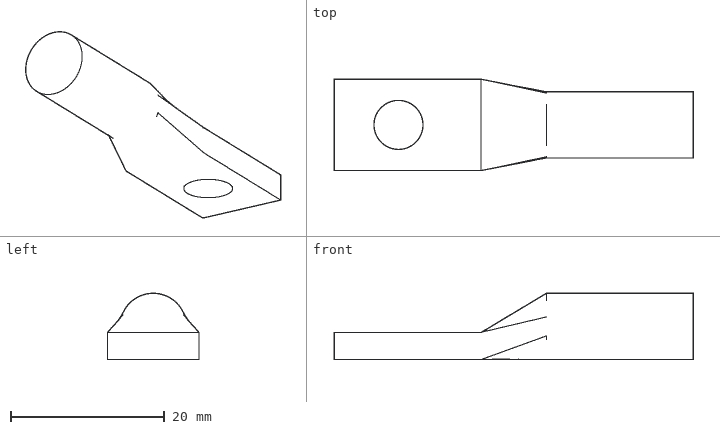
import cadquery as cq
import math

total_length = 46.75
pad_length = 19.1
pad_width = 11.9
pad_thickness = 3.55
hole_diameter = 6.35
hole_center_x = 8.35
barrel_diameter = 8.65
barrel_length = 19.1

barrel_radius = barrel_diameter / 2
neck_length = total_length - pad_length - barrel_length
corner_angle = math.atan2(pad_thickness, pad_width)


def make_pad():
    """Flat pad resting on Z = 0, with its round through hole."""
    pad = cq.Workplane("XY").box(pad_length, pad_width, pad_thickness, centered=(False, True, False))
    hole = cq.Workplane("XY").center(hole_center_x, 0).circle(hole_diameter / 2).extrude(pad_thickness)
    return pad.cut(hole)


def barrel_point(angle):
    """Point on the barrel outline in the YZ plane, angle measured from +Y."""
    return barrel_radius * math.cos(angle), barrel_radius * (1 + math.sin(angle))


def make_neck():
    """Ruled transition from the pad end to a circle split into four arcs."""
    half_width = pad_width / 2
    lower_right = barrel_point(-corner_angle)
    upper_right = barrel_point(corner_angle)
    upper_left = barrel_point(math.pi - corner_angle)
    lower_left = barrel_point(math.pi + corner_angle)
    return (
        cq.Workplane("YZ", origin=(pad_length, 0, 0))
        .moveTo(half_width, 0)
        .lineTo(half_width, pad_thickness)
        .lineTo(-half_width, pad_thickness)
        .lineTo(-half_width, 0)
        .close()
        .workplane(offset=neck_length)
        .moveTo(*lower_right)
        .threePointArc(barrel_point(0), upper_right)
        .threePointArc(barrel_point(math.pi / 2), upper_left)
        .threePointArc(barrel_point(math.pi), lower_left)
        .threePointArc(barrel_point(-math.pi / 2), lower_right)
        .close()
        .loft(ruled=True, combine=True)
    )


def make_barrel():
    """Round barrel whose underside is level with the pad."""
    barrel_start = pad_length + neck_length
    return (
        cq.Workplane("YZ", origin=(barrel_start, 0, barrel_radius))
        .circle(barrel_radius)
        .extrude(barrel_length)
    )


result = make_pad().union(make_neck()).union(make_barrel())